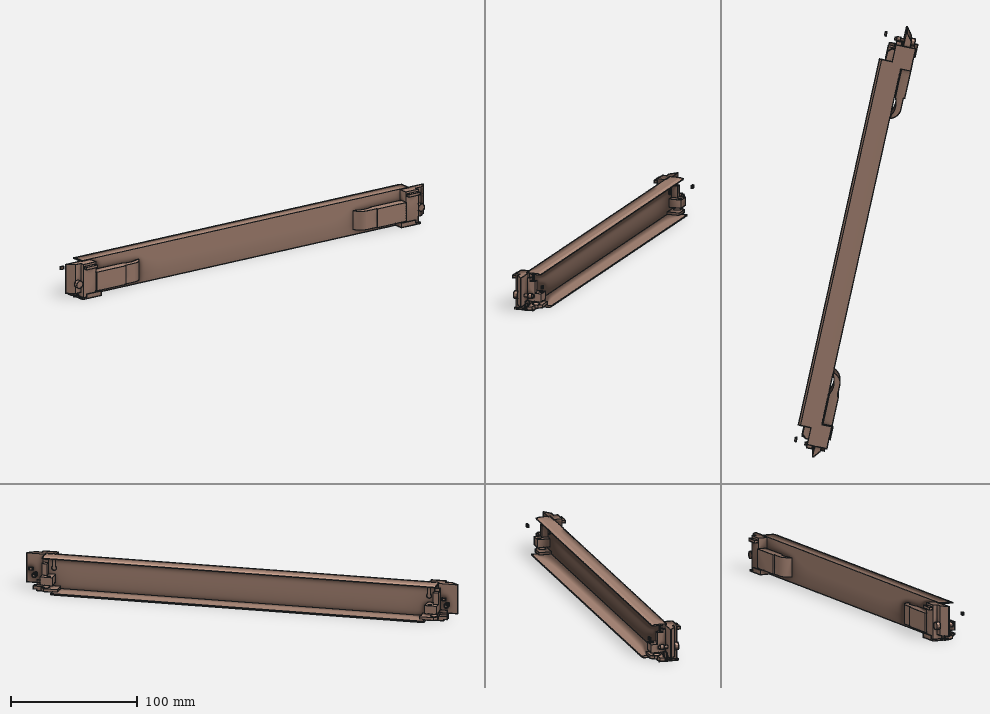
import cadquery as cq

LENGTH = 351.0
WIDTH = 28.5
HEIGHT = 29.0
TIP_Y = LENGTH / 2
FRONT_X = -WIDTH / 2
BACK_X = WIDTH / 2
TOP_Z = HEIGHT / 2
BOTTOM_Z = -HEIGHT / 2

RAIL_END_Y = 160.0
RAIL_BACK_X = 4.0
WALL_FRONT_X = 1.0
TOP_FLANGE_FRONT_X = -8.0
TOP_FLANGE_THICKNESS = 1.0
TOP_SLOPE_WIDTH = 2.5
TOP_SLOPE_DROP = 0.7
BOTTOM_FLANGE_THICKNESS = 1.8
BOTTOM_FLANGE_END_Y = 151.5
LIP_WIDTH = 1.8
LIP_THICKNESS = 0.7

BLOCK_END_Y = 161.5
BLOCK_INNER_Y = 151.5
BLOCK_FRONT_X = -9.0
BLOCK_TOP_Z = -1.5
BLOCK_BOTTOM_Z = -8.0
POST_FRONT_X = -4.0
POST_TOP_Z = 8.0
POST_INNER_Y = 157.2
SHOULDER_FRONT_X = 0.5
SHOULDER_TOP_Z = 10.5
BLOCK_HOLE_DIAMETER = 3.0
BLOCK_HOLE_X = -6.5
BLOCK_HOLE_Y = 155.0

RIB_WIDTH = 2.5
RIB_FRONT_X = 0.5
RIB_Y = 152.5
BOSS_DIAMETER = 4.0
BOSS_Z = 4.0

BASE_TOP_Z = -11.0
BASE_BOTTOM_Z = -13.5
BASE_INNER_Y = 147.5
BASE_BACK_X = 12.0
TONGUE_END_Y = 168.5
TONGUE_BACK_X = 0.5
BASE_CORNER_CHAMFER = 2.8
SOLE_END_Y = 165.5
EAR_FRONT_X = 1.8
EAR_END_Y = 167.0
EAR_TOP_Z = -7.5
NECK_DIAMETER = 2.75
NECK_FLARE_DIAMETER = 6.0
NECK_FLARE_HEIGHT = 1.5
NECK_X = -3.5
NECK_Y = 158.0

PLATE_FRONT_X = 2.5
PLATE_BACK_X = 7.7
PLATE_TIP_WIDTH = 0.7
PLATE_SLOPE_END_Y = 169.5
PLATE_BOTTOM_Z = -9.8
CLIP_TOP_Z = 14.0
CLIP_BACK_X = 11.2
CLIP_BODY_END_Y = 164.2
CLIP_BODY_INNER_Y = 152.0
TAB_END_Y = 163.5
TAB_INNER_Y = 153.0
TAB_BOTTOM_Z = 10.0
TAB_HEIGHT = 2.0
ARM_FRONT_X = 5.0
ARM_TOP_Z = 5.5
ARM_PAD_BACK_X = 12.3
ARM_PAD_INNER_Y = 123.5
ARM_BEND_Y = 113.3
HOOK_START_Y = 122.5
HOOK_MID = (6.5, 115.5)
HOOK_INNER_TIP = (4.5, 108.0)
HOOK_OUTER_TIP = (4.5, 105.3)
HOOK_OUTER_MID = (8.8, 108.0)

PIN_Y = 167.7
PIN_Z = -2.0
PIN_DIAMETER = 2.5
PIN_FRONT_X = -5.3
PIN_COLLAR_DIAMETER = 4.0
PIN_COLLAR_BACK_X = -0.7
PIN_HEAD_DIAMETER = 6.0
PIN_HEAD_BACK_X = 11.0

KEY_FRONT_X = -13.5
KEY_WIDTH = 1.5
KEY_LENGTH = 3.5
KEY_HEIGHT = 2.0
KEY_Y = 168.0
KEY_BOTTOM_Z = 5.0
KEY_CHAMFER = 0.7


def box_between(x_range, y_range, z_range):
    """Box spanning the given (low, high) ranges."""
    x_size = x_range[1] - x_range[0]
    y_size = y_range[1] - y_range[0]
    z_size = z_range[1] - z_range[0]
    corner = (x_range[0], y_range[0], z_range[0])
    return cq.Workplane("XY").box(x_size, y_size, z_size, centered=False).translate(corner)


def cylinder_along_x(diameter, x_range, y_center, z_center):
    """Cylinder along X spanning the given (low, high) range."""
    start = (x_range[0], y_center, z_center)
    disc = cq.Workplane("YZ", origin=start).circle(diameter / 2)
    return disc.extrude(x_range[1] - x_range[0])


def make_rail():
    bottom_flange_top_z = BOTTOM_Z + BOTTOM_FLANGE_THICKNESS
    top_flange_bottom_z = TOP_Z - TOP_FLANGE_THICKNESS
    upper_outline = [
        (RAIL_BACK_X, BOTTOM_Z),
        (RAIL_BACK_X, TOP_Z),
        (TOP_FLANGE_FRONT_X + TOP_SLOPE_WIDTH, TOP_Z),
        (TOP_FLANGE_FRONT_X, TOP_Z - TOP_SLOPE_DROP),
        (TOP_FLANGE_FRONT_X, top_flange_bottom_z),
        (WALL_FRONT_X, top_flange_bottom_z),
        (WALL_FRONT_X, BOTTOM_Z),
    ]
    flange_outline = [
        (RAIL_BACK_X, BOTTOM_Z),
        (RAIL_BACK_X, bottom_flange_top_z),
        (FRONT_X, bottom_flange_top_z),
        (FRONT_X, bottom_flange_top_z - LIP_THICKNESS),
        (FRONT_X + LIP_WIDTH, BOTTOM_Z),
    ]
    upper = cq.Workplane("XZ").polyline(upper_outline).close().extrude(RAIL_END_Y, both=True)
    flange = cq.Workplane("XZ").polyline(flange_outline).close().extrude(BOTTOM_FLANGE_END_Y, both=True)
    return upper.union(flange)


def make_end_block():
    y_range = (BLOCK_INNER_Y, BLOCK_END_Y)
    block = box_between((BLOCK_FRONT_X, RAIL_BACK_X), y_range, (BLOCK_BOTTOM_Z, BLOCK_TOP_Z))
    post = box_between(
        (POST_FRONT_X, RAIL_BACK_X), (POST_INNER_Y, BLOCK_END_Y), (BLOCK_BOTTOM_Z, POST_TOP_Z)
    )
    shoulder = box_between(
        (SHOULDER_FRONT_X, RAIL_BACK_X), (POST_INNER_Y, BLOCK_END_Y), (BLOCK_BOTTOM_Z, SHOULDER_TOP_Z)
    )
    hole_start = (BLOCK_HOLE_X, BLOCK_HOLE_Y, BLOCK_BOTTOM_Z)
    hole = cq.Workplane("XY", origin=hole_start).circle(BLOCK_HOLE_DIAMETER / 2)
    return block.cut(hole.extrude(BLOCK_TOP_Z - BLOCK_BOTTOM_Z)).union(post).union(shoulder)


def make_rib():
    x_range = (RIB_FRONT_X, RAIL_BACK_X)
    y_range = (RIB_Y - RIB_WIDTH / 2, RIB_Y + RIB_WIDTH / 2)
    rib = box_between(x_range, y_range, (BOSS_Z, TOP_Z - TOP_FLANGE_THICKNESS))
    boss = cylinder_along_x(BOSS_DIAMETER, x_range, RIB_Y, BOSS_Z)
    return rib.union(boss)


def make_base():
    z_range = (BASE_BOTTOM_Z, BASE_TOP_Z)
    plate = box_between((BLOCK_FRONT_X, BASE_BACK_X), (BASE_INNER_Y, BLOCK_END_Y), z_range)
    plate = plate.edges("<X and >Y and |Z").chamfer(BASE_CORNER_CHAMFER)
    tongue = box_between((POST_FRONT_X, TONGUE_BACK_X), (BASE_INNER_Y, TONGUE_END_Y), z_range)
    sole = box_between(
        (POST_FRONT_X, BASE_BACK_X), (BASE_INNER_Y, SOLE_END_Y), (BOTTOM_Z, BASE_BOTTOM_Z)
    )
    ear = box_between(
        (EAR_FRONT_X, PLATE_FRONT_X), (BASE_INNER_Y, EAR_END_Y), (BOTTOM_Z, EAR_TOP_Z)
    )
    neck_start = (NECK_X, NECK_Y, BASE_TOP_Z)
    neck = cq.Workplane("XY", origin=neck_start).circle(NECK_DIAMETER / 2)
    neck = neck.extrude(BLOCK_BOTTOM_Z - BASE_TOP_Z)
    flare = cq.Workplane("XY", origin=neck_start).circle(NECK_FLARE_DIAMETER / 2)
    flare = flare.workplane(offset=NECK_FLARE_HEIGHT).circle(NECK_DIAMETER / 2).loft()
    for feature in (tongue, sole, ear, neck, flare):
        plate = plate.union(feature)
    return plate


def make_side_plate():
    outline = [
        (PLATE_FRONT_X, CLIP_BODY_INNER_Y),
        (PLATE_FRONT_X, TIP_Y),
        (PLATE_FRONT_X + PLATE_TIP_WIDTH, TIP_Y),
        (PLATE_BACK_X, PLATE_SLOPE_END_Y),
        (PLATE_BACK_X, CLIP_BODY_INNER_Y),
    ]
    start = (0, 0, PLATE_BOTTOM_Z)
    plate = cq.Workplane("XY", origin=start).polyline(outline).close()
    return plate.extrude(CLIP_TOP_Z - PLATE_BOTTOM_Z)


def make_clip_body():
    body = box_between(
        (RAIL_BACK_X, CLIP_BACK_X), (CLIP_BODY_INNER_Y, CLIP_BODY_END_Y), (BASE_BOTTOM_Z, CLIP_TOP_Z)
    )
    tab = box_between(
        (PLATE_BACK_X, BACK_X), (TAB_INNER_Y, TAB_END_Y), (TAB_BOTTOM_Z, TAB_BOTTOM_Z + TAB_HEIGHT)
    )
    return body.union(tab)


def make_spring_arm():
    arm = (
        cq.Workplane("XY", origin=(0, 0, PLATE_BOTTOM_Z))
        .moveTo(ARM_FRONT_X, CLIP_BODY_INNER_Y)
        .lineTo(ARM_FRONT_X, HOOK_START_Y)
        .threePointArc(HOOK_MID, HOOK_INNER_TIP)
        .lineTo(*HOOK_OUTER_TIP)
        .threePointArc(HOOK_OUTER_MID, (CLIP_BACK_X, ARM_BEND_Y))
        .lineTo(CLIP_BACK_X, ARM_PAD_INNER_Y)
        .lineTo(ARM_PAD_BACK_X, ARM_PAD_INNER_Y)
        .lineTo(ARM_PAD_BACK_X, CLIP_BODY_INNER_Y)
        .close()
    )
    return arm.extrude(ARM_TOP_Z - PLATE_BOTTOM_Z)


def make_cross_pin():
    shaft = cylinder_along_x(PIN_DIAMETER, (PIN_FRONT_X, PLATE_BACK_X), PIN_Y, PIN_Z)
    collar = cylinder_along_x(PIN_COLLAR_DIAMETER, (POST_FRONT_X, PIN_COLLAR_BACK_X), PIN_Y, PIN_Z)
    head = cylinder_along_x(PIN_HEAD_DIAMETER, (PLATE_BACK_X, PIN_HEAD_BACK_X), PIN_Y, PIN_Z)
    return shaft.union(collar).union(head)


def make_end_fitting():
    """Everything fixed to the +Y end of the rail."""
    features = [
        make_rib(),
        make_base(),
        make_side_plate(),
        make_clip_body(),
        make_spring_arm(),
        make_cross_pin(),
    ]
    fitting = make_end_block()
    for feature in features:
        fitting = fitting.union(feature)
    return fitting


def make_frame():
    fitting = make_end_fitting()
    return make_rail().union(fitting).union(fitting.mirror("XZ"))


def make_key(y_center):
    y_range = (y_center - KEY_LENGTH / 2, y_center + KEY_LENGTH / 2)
    z_range = (KEY_BOTTOM_Z, KEY_BOTTOM_Z + KEY_HEIGHT)
    key = box_between((KEY_FRONT_X, KEY_FRONT_X + KEY_WIDTH), y_range, z_range)
    return key.edges("<X and |Z").chamfer(KEY_CHAMFER)


frame = make_frame()
keys = [make_key(side * KEY_Y) for side in (-1, 1)]

result = cq.Compound.makeCompound([frame.val(), *[key.val() for key in keys]])